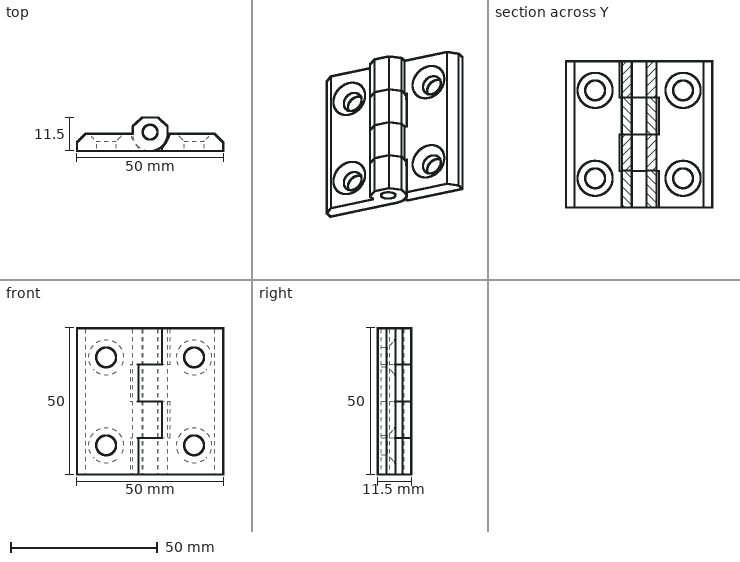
import cadquery as cq

width = 50.0
height = 50.0
depth = 11.5
leaf_thickness = 6.0
half_width = width / 2
edge_chamfer = 3.0

knuckle_count = 4
knuckle_length = height / knuckle_count
knuckle_radius = leaf_thickness
knuckle_flat_half = 2.7
knuckle_shoulder_y = 8.5
pin_bore_diameter = 5.0
pin_axis_to_back = 5.0
pin_axis_y = depth - pin_axis_to_back

clearance_front_x = 4.0
clearance_step_y = 1.15
clearance_back_x = 6.75
clearance_mid = (5.6, 3.4)

screw_hole_diameter = 6.7
countersink_diameter = 12.0
countersink_depth = (countersink_diameter - screw_hole_diameter) / 2
screw_offset = 15.0


def make_plate():
    """Leaf plate on the -X side, with its curved clearance wall facing the pin axis."""
    return (
        cq.Workplane("XY")
        .moveTo(-half_width, 0)
        .lineTo(-clearance_front_x, 0)
        .lineTo(-clearance_front_x, clearance_step_y)
        .threePointArc((-clearance_mid[0], clearance_mid[1]), (-clearance_back_x, leaf_thickness))
        .lineTo(-half_width + edge_chamfer, leaf_thickness)
        .lineTo(-half_width, leaf_thickness - edge_chamfer)
        .close()
        .extrude(height / 2, both=True)
    )


def make_knuckle(bottom_z):
    """One knuckle, joined by a web to the plate on the -X side."""
    web_end_x = -clearance_back_x - knuckle_radius / 2
    return (
        cq.Workplane("XY", origin=(0, 0, bottom_z))
        .moveTo(web_end_x, 0)
        .lineTo(0, 0)
        .radiusArc((knuckle_radius, leaf_thickness), -knuckle_radius)
        .lineTo(knuckle_radius, knuckle_shoulder_y)
        .lineTo(knuckle_flat_half, depth)
        .lineTo(-knuckle_flat_half, depth)
        .lineTo(-knuckle_radius, knuckle_shoulder_y)
        .lineTo(-knuckle_radius, leaf_thickness)
        .lineTo(web_end_x, leaf_thickness)
        .close()
        .extrude(knuckle_length)
    )


def make_pin_bore():
    """Cylinder that bores all knuckles along the pin axis."""
    return (
        cq.Workplane("XY")
        .center(0, pin_axis_y)
        .circle(pin_bore_diameter / 2)
        .extrude(height / 2, both=True)
    )


def make_screw_hole(center_z):
    """Through hole of the plate on the -X side, with a countersink widening to the back."""
    bore_radius = screw_hole_diameter / 2
    countersink_radius = countersink_diameter / 2
    return (
        cq.Workplane("XY", origin=(-screw_offset, 0, center_z))
        .lineTo(bore_radius, 0)
        .lineTo(bore_radius, leaf_thickness - countersink_depth)
        .lineTo(countersink_radius, leaf_thickness)
        .lineTo(0, leaf_thickness)
        .close()
        .revolve(360, (0, 0, 0), (0, 1, 0))
    )


def make_leaf():
    """Leaf on the -X side: plate plus the topmost knuckle and every second one below it."""
    leaf = make_plate()
    for index in range(1, knuckle_count, 2):
        leaf = leaf.union(make_knuckle(-height / 2 + index * knuckle_length))
    for center_z in (-screw_offset, screw_offset):
        leaf = leaf.cut(make_screw_hole(center_z))
    return leaf.cut(make_pin_bore())


leaves = []
for turn in (0, 180):
    leaves.append(make_leaf().rotate((0, 0, 0), (0, 1, 0), turn).val())

result = cq.Compound.makeCompound(leaves)